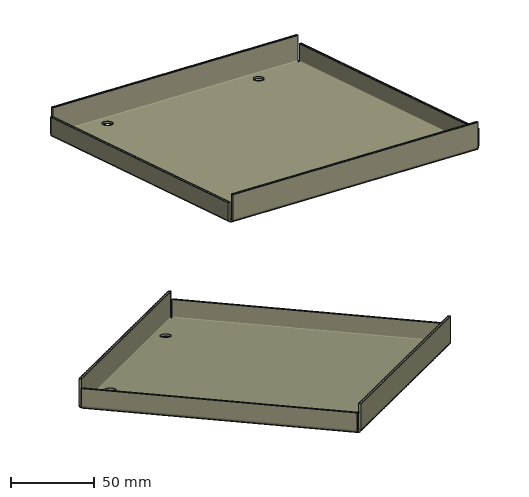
import cadquery as cq

length_x = 176.0
length_y = 190.0
side_height = 18.0
end_height = 12.7

thickness = 1.5
inner_bend_radius = 0.48
outer_bend_radius = thickness + inner_bend_radius

floor_x = length_x - 2 * outer_bend_radius
floor_y = length_y - 2 * outer_bend_radius

hole_diameter = 6.5
hole_spacing_x = 158.0
hole_spacing_y = 114.5


def bent_wall(floor_edge, height, wall_length):
    """Bend and upright wall along the +X edge of a floor, centred on Y."""
    diagonal = 0.5 ** 0.5
    bend_z = outer_bend_radius
    outer_face = floor_edge + outer_bend_radius
    inner_face = floor_edge + inner_bend_radius
    outer_mid = (floor_edge + outer_bend_radius * diagonal, bend_z - outer_bend_radius * diagonal)
    inner_mid = (floor_edge + inner_bend_radius * diagonal, bend_z - inner_bend_radius * diagonal)
    return (
        cq.Workplane("XZ")
        .moveTo(floor_edge, 0)
        .threePointArc(outer_mid, (outer_face, bend_z))
        .lineTo(outer_face, height)
        .lineTo(inner_face, height)
        .lineTo(inner_face, bend_z)
        .threePointArc(inner_mid, (floor_edge, thickness))
        .close()
        .extrude(wall_length / 2, both=True)
    )


def turned(body, angle):
    """Turn a body about the vertical axis of the tray."""
    return body.rotate((0, 0, 0), (0, 0, 1), angle)


result = cq.Workplane("XY").box(floor_x, floor_y, thickness, centered=(True, True, False))

side_wall = bent_wall(floor_x / 2, side_height, floor_y)
end_wall = bent_wall(floor_y / 2, end_height, floor_x)
for half_turn in (0, 180):
    result = result.union(turned(side_wall, half_turn))
    result = result.union(turned(end_wall, half_turn + 90))

holes = (
    cq.Workplane("XY")
    .rarray(hole_spacing_x, hole_spacing_y, 2, 2)
    .circle(hole_diameter / 2)
    .extrude(thickness)
)
result = result.cut(holes)